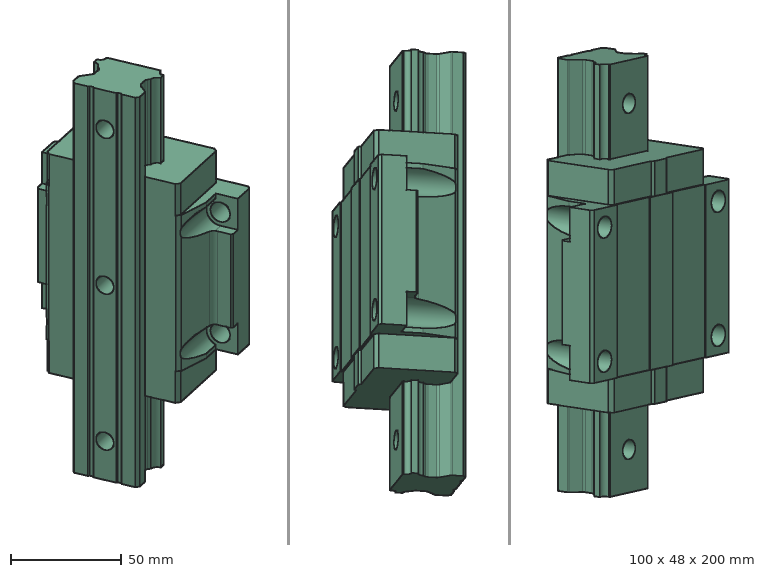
import cadquery as cq
import math


CORNER_TOLERANCE = 0.002

RAIL_LENGTH = 200.0
RAIL_HEIGHT = 29.0
RAIL_HALF_WIDTH = 17.0
RAIL_TOP_HALF_WIDTH = 13.5
RAIL_TOP_EDGE = (14.0, 28.5)
UPPER_RACE_MIDDLE = (14.8, 26.2)
UPPER_RACE_Y = 25.5
LOWER_RACE_Y = 22.5
LOWER_RACE_MIDDLE = (14.8, 21.5)
LOWER_RACE_END = (13.5, 19.5)
WAIST_HALF_WIDTH = 11.8
WAIST_FILLET = 1.8
FOOT_Y = 7.0
FOOT_FILLET = 0.8
BASE_CHAMFER = 1.5
BASE_GROOVE_OFFSET = 7.2
BASE_GROOVE_WIDTH = 3.0
BASE_GROOVE_DEPTH = 0.5
RAIL_HOLE_DIAMETER = 9.0
RAIL_HOLE_PITCH = 80.0

TOP_Y = 48.0
CARRIAGE_BOTTOM_Y = 7.5
BLOCK_LENGTH = 80.0
BLOCK_HALF_WIDTH = 50.0
FLANGE_TOP_CHAMFER = 1.5
FLANGE_BOTTOM_Y = 29.5
FLANGE_BOTTOM_CHAMFER = 1.0
FLANGE_ROOT_X = 40.0
FLANGE_ROOT_FILLET = 3.0
SKIRT_BOTTOM = (34.5, 9.0)
SKIRT_FOOT_HALF_WIDTH = 32.5
TOP_RELIEF_DEPTH = 0.5
TOP_RELIEF_INNER = 8.2
TOP_RELIEF_OUTER = 32.0

MOUNT_PITCH_X = 82.0
MOUNT_PITCH_Z = 62.0
MOUNT_HOLE_DIAMETER = 10.0
SPOTFACE_DIAMETER = 14.0
CORNER_FACE_Y = 35.0
CORNER_WALL_X = 38.8

CARRIAGE_LENGTH = 112.5
CAP_HALF_WIDTH = 34.0
CAP_TOP_Y = 46.5
CAP_CHAMFER = 1.8
CAP_RIDGE_HALF_WIDTH = 4.2
CAP_RIDGE_TOP_Y = 47.5


def symmetric_prism(half_outline, length):
    """Mirror an open half outline that starts and ends on X = 0, and extrude it centred on Z = 0."""
    return half_outline.mirrorY().extrude(length / 2, both=True)


def fillet_long_edges(prism, radius, corners):
    """Round the edges along Z at the given (x, y) corners, on both sides of X = 0."""
    edges = []
    for edge in prism.edges("|Z").vals():
        centre = edge.Center()
        for x, y in corners:
            if math.hypot(abs(centre.x) - x, centre.y - y) < CORNER_TOLERANCE:
                edges.append(edge)
    return prism.newObject(edges).fillet(radius)


def y_cylinder(diameter, x, z, low_y, high_y):
    """Round cylinder along Y at the given X and Z."""
    return cq.Workplane("XY").add(
        cq.Solid.makeCylinder(diameter / 2, high_y - low_y, cq.Vector(x, low_y, z), cq.Vector(0, 1, 0))
    )


def rail_profile_prism(length):
    """Rail section with ball races, waist and foot, without base grooves or holes."""
    waist_high_y = LOWER_RACE_END[1] - (LOWER_RACE_END[0] - WAIST_HALF_WIDTH)
    waist_low_y = FOOT_Y + RAIL_HALF_WIDTH - WAIST_HALF_WIDTH
    half_outline = (
        cq.Workplane("XY")
        .moveTo(0, 0)
        .lineTo(RAIL_HALF_WIDTH - BASE_CHAMFER, 0)
        .lineTo(RAIL_HALF_WIDTH, BASE_CHAMFER)
        .lineTo(RAIL_HALF_WIDTH, FOOT_Y)
        .lineTo(WAIST_HALF_WIDTH, waist_low_y)
        .lineTo(WAIST_HALF_WIDTH, waist_high_y)
        .lineTo(*LOWER_RACE_END)
        .threePointArc(LOWER_RACE_MIDDLE, (RAIL_HALF_WIDTH, LOWER_RACE_Y))
        .lineTo(RAIL_HALF_WIDTH, UPPER_RACE_Y)
        .threePointArc(UPPER_RACE_MIDDLE, RAIL_TOP_EDGE)
        .lineTo(RAIL_TOP_HALF_WIDTH, RAIL_HEIGHT)
        .lineTo(0, RAIL_HEIGHT)
    )
    waist_corners = [(WAIST_HALF_WIDTH, waist_low_y), (WAIST_HALF_WIDTH, waist_high_y)]
    prism = symmetric_prism(half_outline, length)
    prism = fillet_long_edges(prism, WAIST_FILLET, waist_corners)
    return fillet_long_edges(prism, FOOT_FILLET, [(RAIL_HALF_WIDTH, FOOT_Y)])


def make_base_groove():
    """Shallow groove centred on X = 0, with sides sloping at 45 degrees."""
    mouth_half_width = BASE_GROOVE_WIDTH / 2
    half_outline = (
        cq.Workplane("XY")
        .moveTo(0, 0)
        .lineTo(mouth_half_width, 0)
        .lineTo(mouth_half_width - BASE_GROOVE_DEPTH, BASE_GROOVE_DEPTH)
        .lineTo(0, BASE_GROOVE_DEPTH)
    )
    return symmetric_prism(half_outline, RAIL_LENGTH)


def make_rail():
    """Rail with two grooves along its base and a row of through holes."""
    rail = rail_profile_prism(RAIL_LENGTH)
    groove = make_base_groove()
    for side in (-1, 1):
        rail = rail.cut(groove.translate((side * BASE_GROOVE_OFFSET, 0, 0)))
    for step in (-1, 0, 1):
        rail = rail.cut(y_cylinder(RAIL_HOLE_DIAMETER, 0, step * RAIL_HOLE_PITCH, 0, RAIL_HEIGHT))
    return rail


def make_block():
    """Flanged middle block, with the shallow reliefs in its top face."""
    relief_y = TOP_Y - TOP_RELIEF_DEPTH
    half_outline = (
        cq.Workplane("XY")
        .moveTo(0, CARRIAGE_BOTTOM_Y)
        .lineTo(SKIRT_FOOT_HALF_WIDTH, CARRIAGE_BOTTOM_Y)
        .lineTo(*SKIRT_BOTTOM)
        .lineTo(FLANGE_ROOT_X, FLANGE_BOTTOM_Y)
        .lineTo(BLOCK_HALF_WIDTH - FLANGE_BOTTOM_CHAMFER, FLANGE_BOTTOM_Y)
        .lineTo(BLOCK_HALF_WIDTH, FLANGE_BOTTOM_Y + FLANGE_BOTTOM_CHAMFER)
        .lineTo(BLOCK_HALF_WIDTH, TOP_Y - FLANGE_TOP_CHAMFER)
        .lineTo(BLOCK_HALF_WIDTH - FLANGE_TOP_CHAMFER, TOP_Y)
        .lineTo(TOP_RELIEF_OUTER, TOP_Y)
        .lineTo(TOP_RELIEF_OUTER, relief_y)
        .lineTo(TOP_RELIEF_INNER, relief_y)
        .lineTo(TOP_RELIEF_INNER, TOP_Y)
        .lineTo(0, TOP_Y)
    )
    prism = symmetric_prism(half_outline, BLOCK_LENGTH)
    return fillet_long_edges(prism, FLANGE_ROOT_FILLET, [(FLANGE_ROOT_X, FLANGE_BOTTOM_Y)])


def cut_mount(block, side, end):
    """Thin the flange at one corner, then cut the spotface into the skirt and drill the hole."""
    hole_x = side * MOUNT_PITCH_X / 2
    hole_z = end * MOUNT_PITCH_Z / 2
    corner_width = BLOCK_HALF_WIDTH - CORNER_WALL_X
    corner_length = BLOCK_LENGTH / 2 - MOUNT_PITCH_Z / 2
    corner_height = CORNER_FACE_Y - CARRIAGE_BOTTOM_Y
    middle_y = (CORNER_FACE_Y + CARRIAGE_BOTTOM_Y) / 2
    corner = cq.Workplane("XY").box(corner_width, corner_height, corner_length).translate(
        (side * (CORNER_WALL_X + corner_width / 2), middle_y, hole_z + end * corner_length / 2)
    )
    outer_width = BLOCK_HALF_WIDTH - MOUNT_PITCH_X / 2
    outer = cq.Workplane("XY").box(outer_width, corner_height, SPOTFACE_DIAMETER).translate(
        (hole_x + side * outer_width / 2, middle_y, hole_z)
    )
    spotface = y_cylinder(SPOTFACE_DIAMETER, hole_x, hole_z, CARRIAGE_BOTTOM_Y, CORNER_FACE_Y)
    hole = y_cylinder(MOUNT_HOLE_DIAMETER, hole_x, hole_z, CARRIAGE_BOTTOM_Y, TOP_Y)
    return block.cut(corner).cut(outer).cut(spotface).cut(hole)


def make_cap_bar():
    """Bar with the end-cap section over the whole carriage length."""
    ridge_foot = CAP_RIDGE_HALF_WIDTH + CAP_RIDGE_TOP_Y - CAP_TOP_Y
    half_outline = (
        cq.Workplane("XY")
        .moveTo(0, CARRIAGE_BOTTOM_Y)
        .lineTo(CAP_HALF_WIDTH - CAP_CHAMFER, CARRIAGE_BOTTOM_Y)
        .lineTo(CAP_HALF_WIDTH, CARRIAGE_BOTTOM_Y + CAP_CHAMFER)
        .lineTo(CAP_HALF_WIDTH, CAP_TOP_Y - CAP_CHAMFER)
        .lineTo(CAP_HALF_WIDTH - CAP_CHAMFER, CAP_TOP_Y)
        .lineTo(ridge_foot, CAP_TOP_Y)
        .lineTo(CAP_RIDGE_HALF_WIDTH, CAP_RIDGE_TOP_Y)
        .lineTo(0, CAP_RIDGE_TOP_Y)
    )
    return symmetric_prism(half_outline, CARRIAGE_LENGTH)


def make_carriage():
    """Block with an end cap on each end, hollowed to the rail section."""
    block = make_block()
    for side in (-1, 1):
        for end in (-1, 1):
            block = cut_mount(block, side, end)
    block_space = cq.Workplane("XY").box(2 * BLOCK_HALF_WIDTH, 2 * TOP_Y, BLOCK_LENGTH)
    caps = make_cap_bar().cut(block_space)
    return block.union(caps).cut(rail_profile_prism(CARRIAGE_LENGTH))


rail = make_rail()
carriage = make_carriage()
result = cq.Compound.makeCompound([rail.solids().val(), carriage.solids().val()])